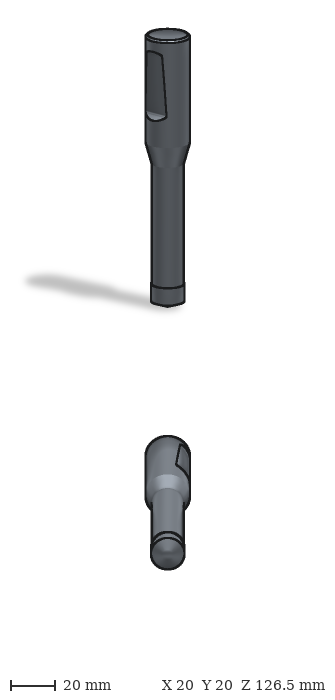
import cadquery as cq
import math

total_length = 126.5

shank_diameter = 20.0
shank_length = 50.0
top_chamfer = 1.0
taper_length = 10.0
neck_diameter = 14.4

head_diameter = 15.0
head_back_diameter = 14.9
head_length = 8.0
point_height = 2.8

flat_top_below_end = 7.0
flat_bottom_below_end = 35.5
flat_top_depth = 1.1
flat_bottom_depth = 2.3
ramp_angle = 45.0
corner_radius = 1.6

shank_radius = shank_diameter / 2
neck_radius = neck_diameter / 2
head_radius = head_diameter / 2
head_back_radius = head_back_diameter / 2
shank_bottom = total_length - shank_length
neck_top = shank_bottom - taper_length
head_top = point_height + head_length


def make_flat_cutter():
    """Prism that removes the clamping flat and its two end ramps."""
    surface_y = -shank_radius
    outside_y = -shank_diameter
    flat_top = total_length - flat_top_below_end
    flat_bottom = total_length - flat_bottom_below_end
    ramp_slope = math.tan(math.radians(ramp_angle))
    ramp_top = flat_top + flat_top_depth / ramp_slope
    ramp_bottom = flat_bottom - flat_bottom_depth / ramp_slope
    cutter = (
        cq.Workplane("YZ")
        .moveTo(outside_y, ramp_top)
        .lineTo(surface_y, ramp_top)
        .lineTo(surface_y + flat_top_depth, flat_top)
        .lineTo(surface_y + flat_bottom_depth, flat_bottom)
        .lineTo(surface_y, ramp_bottom)
        .lineTo(outside_y, ramp_bottom)
        .close()
        .extrude(shank_radius, both=True)
    )
    for corner_y, corner_z in (
        (surface_y + flat_top_depth, flat_top),
        (surface_y + flat_bottom_depth, flat_bottom),
    ):
        corner = cq.selectors.NearestToPointSelector((0, corner_y, corner_z))
        cutter = cutter.edges("|X").edges(corner).fillet(corner_radius)
    return cutter


def make_holder():
    """Chamfered shank, conical taper and slim neck, with the clamping flat."""
    body = (
        cq.Workplane("XZ")
        .moveTo(0, head_top)
        .lineTo(neck_radius, head_top)
        .lineTo(neck_radius, neck_top)
        .lineTo(shank_radius, shank_bottom)
        .lineTo(shank_radius, total_length - top_chamfer)
        .lineTo(shank_radius - top_chamfer, total_length)
        .lineTo(0, total_length)
        .close()
        .revolve(360, (0, 0, 0), (0, 1, 0))
    )
    return body.cut(make_flat_cutter())


def make_cutting_head():
    """Slightly tapered round head with a conical point, seated against the end of the neck."""
    return (
        cq.Workplane("XZ")
        .lineTo(head_radius, point_height)
        .lineTo(head_back_radius, head_top)
        .lineTo(0, head_top)
        .close()
        .revolve(360, (0, 0, 0), (0, 1, 0))
    )


holder = make_holder()
cutting_head = make_cutting_head()

result = cq.Compound.makeCompound([holder.val(), cutting_head.val()])